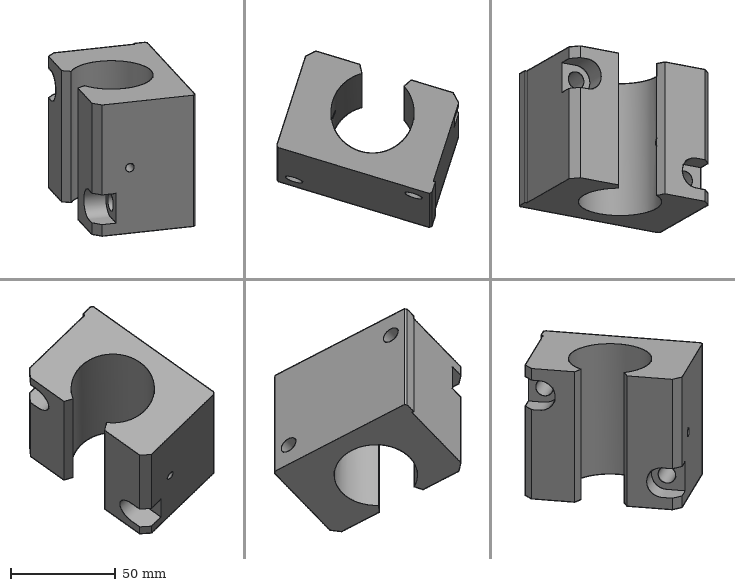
import cadquery as cq
import math

width = 78.0
depth = 51.0
height = 67.0
rear_chamfer = 1.0
front_chamfer = 4.0
step_inset = 1.0
step_length = 6.5

bore_radius = 20.0
bore_y = 21.0
mouth_half_width = 12.9
mouth_angle = 60.0

bolt_offset_x = 30.0
bolt_offset_z = 20.0
bolt_diameter = 8.6
seat_radius = 7.6
seat_depth = 11.0

side_hole_diameter = 4.2
side_hole_angle = -4.5

half_width = width / 2
mid_height = height / 2


def make_block():
    """Chamfered block with a raised locating strip along its rear -X edge."""
    stepped_x = -half_width + step_inset
    outline = [
        (stepped_x + front_chamfer, 0),
        (half_width - front_chamfer, 0),
        (half_width, front_chamfer),
        (half_width, depth - rear_chamfer),
        (half_width - rear_chamfer, depth),
        (-half_width + rear_chamfer, depth),
        (-half_width, depth - rear_chamfer),
        (-half_width, depth - step_length),
        (stepped_x, depth - step_length),
        (stepped_x, front_chamfer),
    ]
    return cq.Workplane("XY").polyline(outline).close().extrude(height)


def make_bore():
    """Vertical bore joined to a mouth that widens towards the slotted face."""
    bore = cq.Workplane("XY").center(0, bore_y).circle(bore_radius).extrude(height)
    apex_y = mouth_half_width / math.tan(math.radians(mouth_angle / 2))
    mouth_corners = [(0, apex_y), (-mouth_half_width, 0), (mouth_half_width, 0)]
    mouth = cq.Workplane("XY").polyline(mouth_corners).close().extrude(height)
    return bore.union(mouth)


def make_bolt_cut(side):
    """Through hole with a round-ended seat open to the side wall; side is -1 or +1 along X."""
    x = side * bolt_offset_x
    z = mid_height - side * bolt_offset_z
    run_out = half_width - bolt_offset_x
    face = cq.Workplane("XZ", origin=(x, 0, z))
    hole = face.circle(bolt_diameter / 2).extrude(-depth)
    round_end = face.circle(seat_radius).extrude(-seat_depth)
    open_end = face.center(side * run_out / 2, 0).rect(run_out, 2 * seat_radius).extrude(-seat_depth)
    return hole.union(round_end).union(open_end)


def make_side_hole():
    """Radial hole running from the bore axis out through the +X wall."""
    angle = math.radians(side_hole_angle)
    start = cq.Vector(0, bore_y, mid_height)
    direction = cq.Vector(math.cos(angle), math.sin(angle), 0)
    return cq.Workplane(cq.Solid.makeCylinder(side_hole_diameter / 2, width, start, direction))


result = make_block().cut(make_bore())
for bolt_side in (-1, 1):
    result = result.cut(make_bolt_cut(bolt_side))
result = result.cut(make_side_hole())